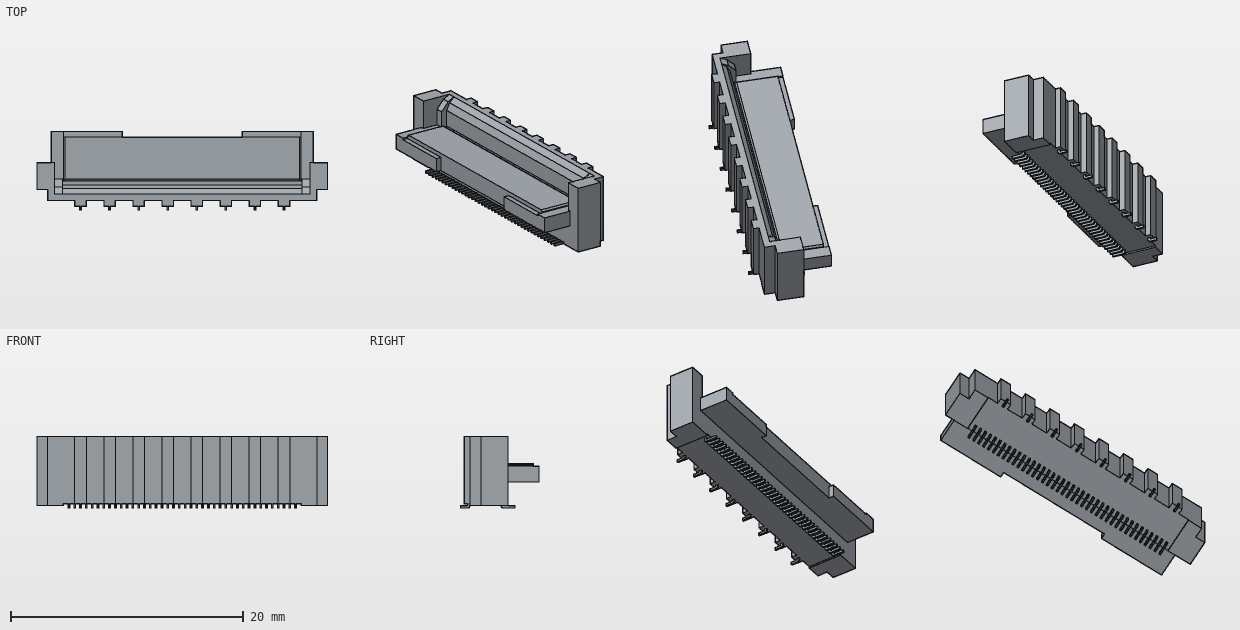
import cadquery as cq


housing_length = 25.0
housing_height = 5.95
front_wall_length = 23.15
post_front = 0.95
housing_rear = 3.28
wall_thickness = 0.58
pocket_length = 22.0
foot_clearance = 0.15
foot_clearance_length = 20.45

rib_count = 8
rib_pitch = 2.5
rib_width = 1.0
rib_depth = 0.5

lead_in_depth = 1.1
mid_lead_in_length = 20.6
mid_bend_y = 1.02
mid_bend_depth = mid_bend_y - wall_thickness
mid_lead_in_rear = 1.32
end_bend_y = 1.18
end_bend_depth = 0.32
end_lead_in_rear = 1.85

slider_length = 22.55
slider_bottom = 2.02
slider_top = 3.4
slider_rear = 5.48
tab_rear = 5.95
tab_top = 3.25
tab_inner_gap = 10.3
plate_length = 20.45
plate_front = 1.7
plate_thickness = 0.22
plate_chamfer = 0.15

pin_count = 40
pin_pitch = 0.5
pin_width = 0.15
pin_thickness = 0.22
pin_drop = 0.22
pin_outer_radius = 0.22
pin_inner_radius = 0.05
pin_embed = 0.15
front_pin_stem = 0.0
front_pin_tip = -0.82
rear_pin_stem = 2.68
rear_pin_tip = 3.88


def box(length, y_front, y_rear, z_bottom, z_top):
    """A box centred on X between the given Y and Z limits."""
    return (
        cq.Workplane("XY")
        .box(length, y_rear - y_front, z_top - z_bottom, centered=(True, False, False))
        .translate((0, y_front, z_bottom))
    )


def side_profile(points, length):
    """A (Y, Z) outline extruded symmetrically along X."""
    return cq.Workplane("YZ").polyline(points).close().extrude(length / 2, both=True)


def row(shape, count, pitch):
    """Copies of a shape in a row along X, centred on the part."""
    return cq.Workplane("XY").rarray(pitch, 0.25, count, 1).eachpoint(shape.val())


def pocket(length, bend_y, bend_depth, lip_rear):
    """Upper pocket, open at the top and rear, with a two-step lead-in slope at its front."""
    lip_z = housing_height - lead_in_depth
    outline = [
        (wall_thickness, housing_height),
        (bend_y, housing_height - bend_depth),
        (lip_rear, lip_z),
        (lip_rear, slider_bottom),
        (housing_rear, slider_bottom),
        (housing_rear, housing_height),
    ]
    return side_profile(outline, length)


def make_housing():
    body = box(housing_length, post_front, housing_rear, 0, housing_height)
    body = body.union(box(front_wall_length, 0, housing_rear, 0, housing_height))
    rib = box(rib_width, -rib_depth, wall_thickness, 0, housing_height)
    body = body.union(row(rib, rib_count, rib_pitch))
    body = body.cut(pocket(pocket_length, end_bend_y, end_bend_depth, end_lead_in_rear))
    body = body.cut(pocket(mid_lead_in_length, mid_bend_y, mid_bend_depth, mid_lead_in_rear))
    return body.cut(box(foot_clearance_length, -rib_depth, housing_rear, 0, foot_clearance))


def make_slider():
    inner = box(pocket_length, end_lead_in_rear, housing_rear, slider_bottom, slider_top)
    front_edge = box(mid_lead_in_length, mid_lead_in_rear, end_lead_in_rear, slider_bottom, slider_top)
    outer = box(slider_length, housing_rear, tab_rear, slider_bottom, slider_top)
    tab_gap = box(tab_inner_gap, slider_rear, tab_rear, slider_bottom, slider_top)
    tab_step = box(plate_length, slider_rear, tab_rear, tab_top, slider_top)
    plate = (
        box(plate_length, plate_front, slider_rear, slider_top, slider_top + plate_thickness)
        .faces(">Z")
        .edges("<Y or <X or >X")
        .chamfer(plate_chamfer)
    )
    return inner.union(front_edge).union(outer).cut(tab_gap).cut(tab_step).union(plate)


def make_pin(stem_y, tip_y):
    """An L-shaped pin: a stem rising into the housing and a foot reaching to tip_y."""
    direction = 1 if tip_y > stem_y else -1
    stem_inner = stem_y + direction * pin_thickness
    foot_top = pin_thickness - pin_drop
    stem_top = foot_clearance + pin_embed
    outline = [
        (stem_y, stem_top),
        (stem_y, -pin_drop),
        (tip_y, -pin_drop),
        (tip_y, foot_top),
        (stem_inner, foot_top),
        (stem_inner, stem_top),
    ]
    outer_bend = cq.selectors.NearestToPointSelector((0, stem_y, -pin_drop))
    inner_bend = cq.selectors.NearestToPointSelector((0, stem_inner, foot_top))
    return (
        side_profile(outline, pin_width)
        .edges(outer_bend)
        .fillet(pin_outer_radius)
        .edges(inner_bend)
        .fillet(pin_inner_radius)
    )


rear_pins = row(make_pin(rear_pin_stem, rear_pin_tip), pin_count, pin_pitch)
front_pins = row(make_pin(front_pin_stem, front_pin_tip), rib_count, rib_pitch)

result = make_housing().union(make_slider()).union(rear_pins).union(front_pins)